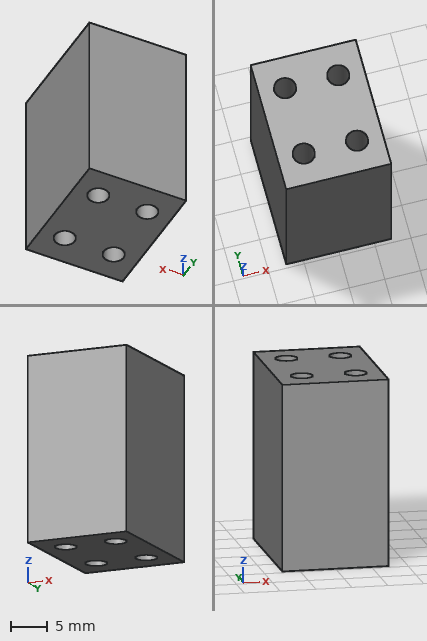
import cadquery as cq

width = 14.8
depth = 19.0
height = 26.2

hole_diameter = 3.0
hole_spacing_x = 7.5
hole_spacing_y = 10.0

block = cq.Workplane("XY").box(width, depth, height)

result = (
    block.faces(">Z")
    .workplane()
    .rarray(hole_spacing_x, hole_spacing_y, 2, 2)
    .hole(hole_diameter)
)